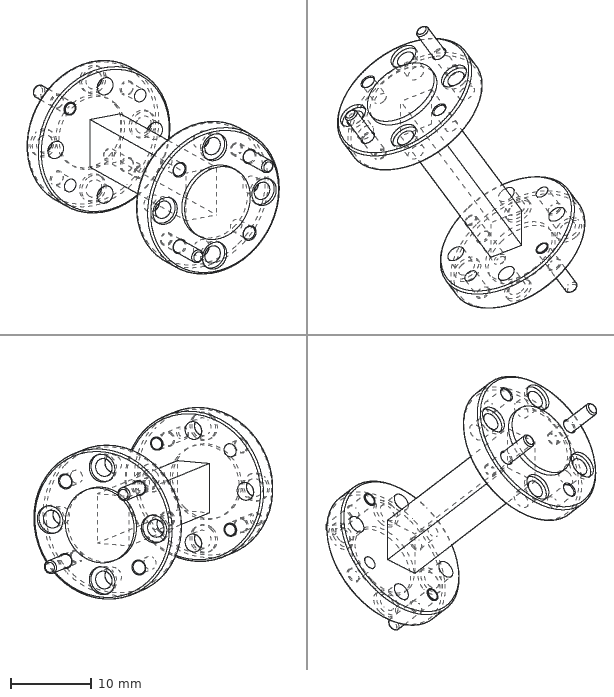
import cadquery as cq

overall_length = 39.5
flange_diameter = 19.05
flange_thickness = 3.3
flange_chamfer = 0.28
pin_protrusion = 4.6
boss_diameter = 9.48
boss_height = 0.7

tube_width = 4.4
tube_height = 6.3
port_height = 3.75
port_width = port_height / 2

screw_circle_radius = 7.15
screw_hole_diameter = 2.25
counterbore_diameter = 3.5
counterbore_depth = 0.5

dowel_circle_radius = screw_circle_radius
pin_diameter = 1.65
pin_tip_chamfer = 0.2
pin_root_chamfer = 0.1
dowel_mouth_chamfer = 0.1
flare_angle = 45

tip_x = overall_length / 2
flange_outer_x = tip_x - pin_protrusion
flange_inner_x = flange_outer_x - flange_thickness
boss_face_x = flange_outer_x + boss_height


def x_cylinder(diameter, x_start, x_end, z=0):
    """Cylinder along +X between two X positions, its axis at height z."""
    plane = cq.Workplane("YZ", origin=(x_start, 0, z))
    return plane.circle(diameter / 2).extrude(x_end - x_start)


def x_rotated(body, angle):
    """Body turned about the X axis by an angle in degrees."""
    return body.rotate((0, 0, 0), (1, 0, 0), angle)


def screw_hole():
    """Counterbored through hole above the flange centre."""
    hole = x_cylinder(screw_hole_diameter, flange_inner_x, flange_outer_x, z=screw_circle_radius)
    counterbore = x_cylinder(
        counterbore_diameter, flange_outer_x - counterbore_depth, flange_outer_x, z=screw_circle_radius
    )
    return hole.union(counterbore)


def dowel_hole():
    """Through hole above the flange centre, flared at the outer face."""
    hole = x_cylinder(pin_diameter, flange_inner_x, flange_outer_x, z=dowel_circle_radius)
    mouth_plane = cq.Workplane("YZ", origin=(flange_outer_x, 0, dowel_circle_radius))
    mouth_circle = mouth_plane.circle(pin_diameter / 2 + dowel_mouth_chamfer)
    mouth = mouth_circle.extrude(-dowel_mouth_chamfer, taper=flare_angle)
    return hole.union(mouth)


def flange():
    """Flange at the +X end with its boss and holes."""
    disc = x_cylinder(flange_diameter, flange_inner_x, flange_outer_x)
    disc = disc.edges().chamfer(flange_chamfer)
    body = disc.union(x_cylinder(boss_diameter, flange_outer_x, boss_face_x))
    for quarter in range(4):
        body = body.cut(x_rotated(screw_hole(), 90 * quarter))
        body = body.cut(x_rotated(dowel_hole(), 90 * quarter + 45))
    return body


def waveguide():
    """Tube and both flanges as one solid."""
    tube = cq.Workplane("XY").box(2 * flange_inner_x, tube_width, tube_height)
    right_flange = flange()
    left_flange = right_flange.mirror("YZ")
    body = tube.union(right_flange).union(left_flange)
    port_bar = cq.Workplane("XY").box(2 * boss_face_x, port_width, port_height)
    return body.union(port_bar, clean=False)


def dowel_pin(end, angle):
    """Pin at the end facing +X (end = 1) or -X (end = -1), at an angle from +Z towards -Y."""
    pin = x_cylinder(pin_diameter, flange_inner_x, tip_x, z=dowel_circle_radius)
    pin = pin.faces(">X").chamfer(pin_tip_chamfer)
    pin = pin.faces("<X").chamfer(pin_root_chamfer)
    if end < 0:
        pin = pin.mirror("YZ")
    return x_rotated(pin, angle)


waveguide_body = waveguide()

pins = []
for end, first_angle in ((-1, 45), (1, -45)):
    for angle in (first_angle, first_angle + 180):
        pins.append(dowel_pin(end, angle))

result = cq.Compound.makeCompound([waveguide_body.val(), *[pin.val() for pin in pins]])